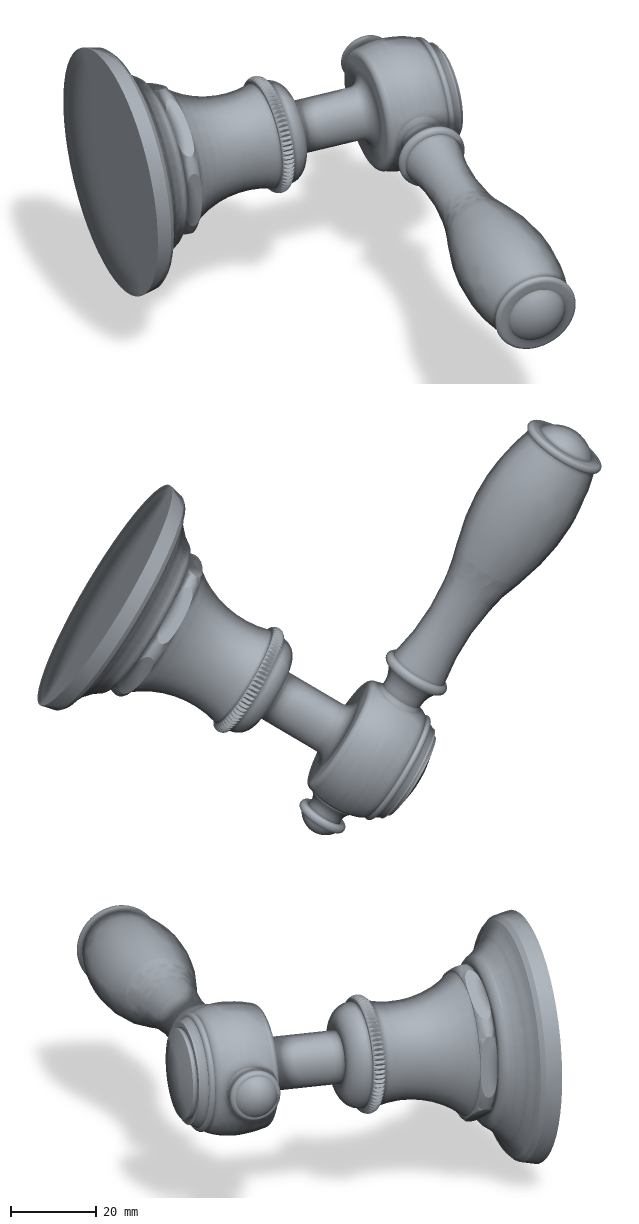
import cadquery as cq
import math


PLATE_R = 30.04
RIM_R = 29.2
RIM_Y = 3.7
SHOULDER_R = 28.2
SHOULDER_Y = 4.75
COVE_MID_R = 23.7
COVE_MID_Y = 7.0
COVE_TOP_R = 20.9
COVE_TOP_Y = 10.1
CROWN_MID_R = 19.8
CROWN_MID_Y = 11.4

BAND_BOTTOM_Y = 11.95
BAND_TOP_Y = 16.15
BAND_EDGE_R = 17.5
BAND_R = 19.05
BAND_SIDES = 6
BAND_APOTHEM = 17.45

NECK_FOOT_R = 17.1
WAIST_R = 11.7
WAIST_Y = 31.0
CAP_R = 12.6
CAP_TOP_Y = 46.1

KNURL_BOTTOM_Y = 37.9
KNURL_TOP_Y = 41.6
KNURL_R = 14.1
KNURL_DEPTH = 0.7
KNURL_COUNT = 72
KNURL_LAND = 0.4

STEM_R = 6.35
STEM_COVE = 2.8

HUB_BOTTOM_Y = 64.6
HUB_ROUND = 1.5
HUB_LOWER_R = 14.85
HUB_R = 15.85
HUB_UPPER_Y = 78.8
HUB_UPPER_R = 14.75
HUB_TOP_Y = 80.2
HUB_TOP_R = 13.8

BUTTON_BEAD_R = 14.15
BUTTON_BEAD_TOP_Y = 81.7
BUTTON_BEAD_TOP_R = 13.1
BUTTON_STEP_R = 12.2
BUTTON_COVE_TOP_Y = 83.4
BUTTON_STEP_Y = 83.8
DOME_R = 10.8
DOME_EDGE_Y = 84.85
DOME_TOP_Y = 86.61
DOME_MID_R = 6.5

LEVER_Y = 72.3
LEVER_NECK_R = 5.1
LEVER_FLARE_END_X = 15.7
LEVER_FLARE = 1.2
NECK_COVE_X = 18.1
NECK_COVE_R = 5.42
COLLAR_START_X = 21.0
COLLAR_END_X = 23.6
COLLAR_FOOT_R = 7.0
COLLAR_R = 8.25
GRIP_WAIST_X = 37.5
GRIP_WAIST_R = 5.8
GRIP_SEAM_X = 54.2
GRIP_SEAM_R = 8.75
GRIP_BELLY_X = 70.7
GRIP_BELLY_R = 11.55
END_RING_START_X = 87.2
END_RING_END_X = 89.15
END_RING_FOOT_R = 9.1
END_RING_R = 10.1
END_DOME_R = 7.1
LEVER_TIP_X = 92.6

FINIAL_FLARE_X = -15.2
FINIAL_COVE_X = -16.6
FINIAL_COVE_R = 4.5
FINIAL_FLARE_R = 5.5
FINIAL_RING_START_X = -18.7
FINIAL_RING_END_X = -20.6
FINIAL_RING_FOOT_R = 4.35
FINIAL_RING_R = 6.15
FINIAL_DOME_R = 5.1
FINIAL_TIP_X = -23.75

COS_45 = math.cos(math.pi / 4)


def turn_about_y(outline):
    """Revolve a closed (radius, y) outline about the main axis."""
    return outline.close().revolve(360, (0, 0, 0), (0, 1, 0))


def turn_about_lever_axis(outline):
    """Revolve a closed (x, radius) outline, then lift it onto the lever axis."""
    return outline.close().revolve(360, (0, 0, 0), (1, 0, 0)).translate((0, LEVER_Y, 0))


def dome_radius(edge_radius, height):
    """Sphere radius of a cap with the given edge radius and height."""
    return (edge_radius**2 + height**2) / (2 * height)


def make_escutcheon():
    outline = (
        cq.Workplane("XY")
        .lineTo(PLATE_R, 0)
        .lineTo(RIM_R, RIM_Y)
        .lineTo(SHOULDER_R, SHOULDER_Y)
        .threePointArc((COVE_MID_R, COVE_MID_Y), (COVE_TOP_R, COVE_TOP_Y))
        .threePointArc((CROWN_MID_R, CROWN_MID_Y), (BAND_EDGE_R, BAND_BOTTOM_Y))
        .lineTo(0, BAND_BOTTOM_Y)
    )
    return turn_about_y(outline)


def make_band():
    """Barrel-shaped band trimmed by a hexagon, leaving six oval flats."""
    middle_y = (BAND_BOTTOM_Y + BAND_TOP_Y) / 2
    barrel = turn_about_y(
        cq.Workplane("XY")
        .moveTo(0, BAND_BOTTOM_Y)
        .lineTo(BAND_EDGE_R, BAND_BOTTOM_Y)
        .threePointArc((BAND_R, middle_y), (BAND_EDGE_R, BAND_TOP_Y))
        .lineTo(0, BAND_TOP_Y)
    )
    across_corners = 2 * BAND_APOTHEM / math.cos(math.pi / BAND_SIDES)
    hexagon = (
        cq.Workplane("XZ", origin=(0, BAND_BOTTOM_Y, 0))
        .transformed(rotate=(0, 0, 180 / BAND_SIDES))
        .polygon(BAND_SIDES, across_corners)
        .extrude(BAND_BOTTOM_Y - BAND_TOP_Y)
    )
    return barrel.intersect(hexagon)


def make_neck_and_stem():
    cap_round = CAP_TOP_Y - KNURL_TOP_Y
    cap_flat_r = CAP_R - cap_round
    cove_start_y = HUB_BOTTOM_Y - STEM_COVE
    cove_r = STEM_R + STEM_COVE
    outline = (
        cq.Workplane("XY")
        .moveTo(0, BAND_TOP_Y)
        .lineTo(NECK_FOOT_R, BAND_TOP_Y)
        .threePointArc((WAIST_R, WAIST_Y), (CAP_R, KNURL_BOTTOM_Y))
        .lineTo(CAP_R, KNURL_TOP_Y)
        .threePointArc(
            (cap_flat_r + cap_round * COS_45, KNURL_TOP_Y + cap_round * COS_45),
            (cap_flat_r, CAP_TOP_Y),
        )
        .lineTo(STEM_R, CAP_TOP_Y)
        .lineTo(STEM_R, cove_start_y)
        .threePointArc(
            (cove_r - STEM_COVE * COS_45, cove_start_y + STEM_COVE * COS_45),
            (cove_r, HUB_BOTTOM_Y),
        )
        .lineTo(0, HUB_BOTTOM_Y)
    )
    return turn_about_y(outline)


def make_knurled_ring():
    """Rounded bead with V grooves parallel to the main axis."""
    middle_y = (KNURL_BOTTOM_Y + KNURL_TOP_Y) / 2
    bead_bottom_y = KNURL_BOTTOM_Y + KNURL_LAND
    bead_top_y = KNURL_TOP_Y - KNURL_LAND
    root_r = KNURL_R - KNURL_DEPTH
    bead = turn_about_y(
        cq.Workplane("XY")
        .moveTo(0, bead_bottom_y)
        .lineTo(root_r, bead_bottom_y)
        .threePointArc((KNURL_R, middle_y), (root_r, bead_top_y))
        .lineTo(0, bead_top_y)
    )
    points = []
    for index in range(2 * KNURL_COUNT):
        radius = KNURL_R if index % 2 == 0 else root_r
        angle = index * math.pi / KNURL_COUNT
        points.append((radius * math.cos(angle), radius * math.sin(angle)))
    teeth = (
        cq.Workplane("XZ", origin=(0, KNURL_BOTTOM_Y, 0))
        .polyline(points)
        .close()
        .extrude(KNURL_BOTTOM_Y - KNURL_TOP_Y)
    )
    return bead.intersect(teeth)


def make_hub():
    hub_bottom_r = HUB_LOWER_R - HUB_ROUND
    hub_lower_y = HUB_BOTTOM_Y + HUB_ROUND
    hub_middle_y = (hub_lower_y + HUB_UPPER_Y) / 2
    bead_middle_y = (HUB_TOP_Y + BUTTON_BEAD_TOP_Y) / 2
    sphere_r = dome_radius(DOME_R, DOME_TOP_Y - DOME_EDGE_Y)
    dome_mid_y = DOME_TOP_Y - sphere_r + math.sqrt(sphere_r**2 - DOME_MID_R**2)
    outline = (
        cq.Workplane("XY")
        .moveTo(0, HUB_BOTTOM_Y)
        .lineTo(hub_bottom_r, HUB_BOTTOM_Y)
        .threePointArc(
            (hub_bottom_r + HUB_ROUND * COS_45, hub_lower_y - HUB_ROUND * COS_45),
            (HUB_LOWER_R, hub_lower_y),
        )
        .threePointArc((HUB_R, hub_middle_y), (HUB_UPPER_R, HUB_UPPER_Y))
        .tangentArcPoint((HUB_TOP_R, HUB_TOP_Y), relative=False)
        .threePointArc((BUTTON_BEAD_R, bead_middle_y), (BUTTON_BEAD_TOP_R, BUTTON_BEAD_TOP_Y))
        .lineTo(BUTTON_STEP_R, BUTTON_COVE_TOP_Y)
        .lineTo(BUTTON_STEP_R, BUTTON_STEP_Y)
        .lineTo(DOME_R, BUTTON_STEP_Y)
        .lineTo(DOME_R, DOME_EDGE_Y)
        .threePointArc((DOME_MID_R, dome_mid_y), (0, DOME_TOP_Y))
    )
    return turn_about_y(outline)


def make_lever():
    collar_middle_x = (COLLAR_START_X + COLLAR_END_X) / 2
    ring_middle_x = (END_RING_START_X + END_RING_END_X) / 2
    sphere_r = dome_radius(END_DOME_R, LEVER_TIP_X - END_RING_END_X)
    half_r = END_DOME_R / 2
    dome_mid_x = LEVER_TIP_X - sphere_r + math.sqrt(sphere_r**2 - half_r**2)
    flare_start_x = LEVER_FLARE_END_X - LEVER_FLARE
    outline = (
        cq.Workplane("XY")
        .lineTo(0, LEVER_NECK_R + LEVER_FLARE)
        .lineTo(flare_start_x, LEVER_NECK_R + LEVER_FLARE)
        .lineTo(LEVER_FLARE_END_X, LEVER_NECK_R)
        .threePointArc((NECK_COVE_X, NECK_COVE_R), (COLLAR_START_X, COLLAR_FOOT_R))
        .threePointArc((collar_middle_x, COLLAR_R), (COLLAR_END_X, COLLAR_FOOT_R))
        .spline(
            [(GRIP_WAIST_X, GRIP_WAIST_R), (GRIP_SEAM_X, GRIP_SEAM_R)],
            includeCurrent=True,
        )
        .spline(
            [(GRIP_BELLY_X, GRIP_BELLY_R), (END_RING_START_X, END_RING_FOOT_R)],
            includeCurrent=True,
        )
        .threePointArc((ring_middle_x, END_RING_R), (END_RING_END_X, END_RING_FOOT_R))
        .lineTo(END_RING_END_X, END_DOME_R)
        .threePointArc((dome_mid_x, half_r), (LEVER_TIP_X, 0))
    )
    return turn_about_lever_axis(outline)


def make_finial():
    ring_middle_x = (FINIAL_RING_START_X + FINIAL_RING_END_X) / 2
    sphere_r = dome_radius(FINIAL_DOME_R, FINIAL_RING_END_X - FINIAL_TIP_X)
    half_r = FINIAL_DOME_R / 2
    dome_mid_x = FINIAL_TIP_X + sphere_r - math.sqrt(sphere_r**2 - half_r**2)
    outline = (
        cq.Workplane("XY")
        .lineTo(0, FINIAL_FLARE_R)
        .lineTo(FINIAL_FLARE_X, FINIAL_FLARE_R)
        .spline(
            [(FINIAL_COVE_X, FINIAL_COVE_R), (FINIAL_RING_START_X, FINIAL_RING_FOOT_R)],
            includeCurrent=True,
        )
        .threePointArc((ring_middle_x, FINIAL_RING_R), (FINIAL_RING_END_X, FINIAL_DOME_R))
        .threePointArc((dome_mid_x, half_r), (FINIAL_TIP_X, 0))
    )
    return turn_about_lever_axis(outline)


result = (
    make_escutcheon()
    .union(make_band())
    .union(make_neck_and_stem())
    .union(make_hub())
    .union(make_lever())
    .union(make_finial())
    .union(make_knurled_ring())
)